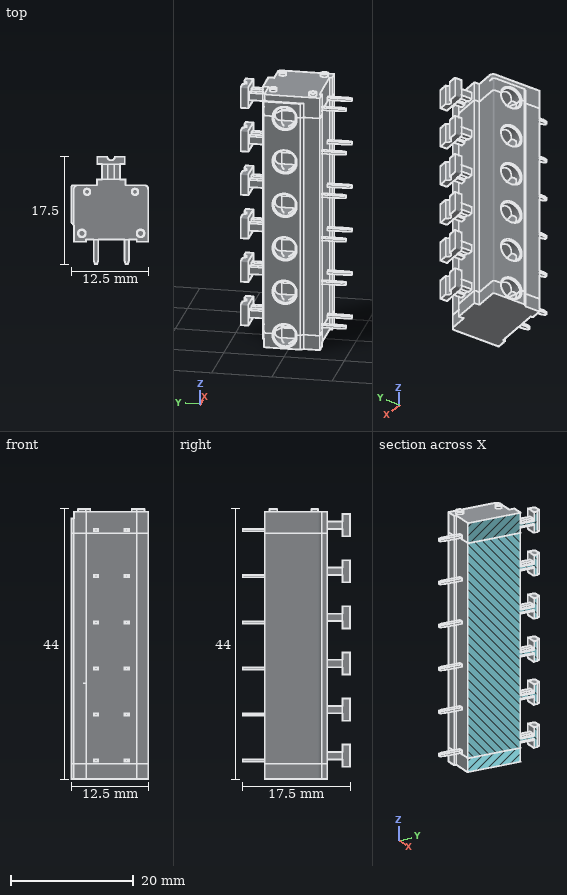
import cadquery as cq


POLE_COUNT = 6
PITCH = 7.5
BOTTOM_THICKNESS = 2.5
TOP_THICKNESS = 3.5
TOP_SPLIT_Z = BOTTOM_THICKNESS + (POLE_COUNT - 1) * PITCH
HOUSING_TOP_Z = TOP_SPLIT_Z + TOP_THICKNESS

HOUSING_WIDTH = 12.1
FOOT_Y = 3.6
CHANNEL_Y = 4.0
LEFT_FOOT_WIDTH = 2.0
RIGHT_FOOT_WIDTH = 1.9
SHOULDER_Y = 12.85
GUIDE_Y = 13.8
GUIDE_LEFT_X = 3.75
GUIDE_RIGHT_X = 8.4
SHOULDER_RADIUS = 0.65

LIP_DEPTH = 0.4
LIP_BOTTOM_Y = 6.25
LIP_CHAMFER_RISE = 0.55
LIP_RADIUS = 0.35
LIP_TOP_Z = HOUSING_TOP_Z - 1.1

FUNNEL_Y = 9.35
FUNNEL_Z = 2.25
FUNNEL_DIAMETER = 3.7
FUNNEL_CHAMFER = 0.2
FUNNEL_STRAIGHT_DEPTH = 1.3
FUNNEL_DEPTH = 3.0
FUNNEL_END_HALF_WIDTH = 1.12
FUNNEL_END_ABOVE = 0.5
FUNNEL_END_BELOW = 1.45

PIN_LEFT_X = 3.6
PIN_SPACING = 5.0
PIN_Z = 3.0
PIN_WIDTH = 0.8
PIN_THICKNESS = 0.4
PIN_TIP_WIDTH = 0.4
PIN_TAPER = 0.65

BUTTON_X = 6.05
BUTTON_Z = 3.8
STEM_WIDTH = 2.95
STEM_HEIGHT = 1.25
STEM_GROOVE_WIDTH = 1.1
STEM_GROOVE_DEPTH = 0.35
CAP_BOTTOM_Y = 16.25
CAP_TOP_Y = 17.5
CAP_WIDTH = 4.5
CAP_HEIGHT = 3.65
CAP_RADIUS = 0.2
CAP_NOTCH_RADIUS = 0.6

PEG_HEIGHT = 0.5
PEG_CHAMFER = 0.1
UPPER_PEG_DIAMETER = 1.1
LOWER_PEG_DIAMETER = 1.3
UPPER_PEG_Y = 11.75
LOWER_PEG_Y = 5.0
UPPER_PEG_XS = (2.15, 9.95)
LOWER_PEG_XS = (1.3, 10.85)


def housing_slice(bottom_z, top_z):
    """Length of the housing profile: two feet, rounded shoulders and the button guide."""
    profile = (
        cq.Workplane("XY", origin=(0, 0, bottom_z))
        .moveTo(0, FOOT_Y)
        .lineTo(LEFT_FOOT_WIDTH, FOOT_Y)
        .lineTo(LEFT_FOOT_WIDTH, CHANNEL_Y)
        .lineTo(HOUSING_WIDTH - RIGHT_FOOT_WIDTH, CHANNEL_Y)
        .lineTo(HOUSING_WIDTH - RIGHT_FOOT_WIDTH, FOOT_Y)
        .lineTo(HOUSING_WIDTH, FOOT_Y)
        .lineTo(HOUSING_WIDTH, SHOULDER_Y - SHOULDER_RADIUS)
        .radiusArc((HOUSING_WIDTH - SHOULDER_RADIUS, SHOULDER_Y), -SHOULDER_RADIUS)
        .lineTo(GUIDE_RIGHT_X, SHOULDER_Y)
        .lineTo(GUIDE_RIGHT_X, GUIDE_Y)
        .lineTo(GUIDE_LEFT_X, GUIDE_Y)
        .lineTo(GUIDE_LEFT_X, SHOULDER_Y)
        .lineTo(SHOULDER_RADIUS, SHOULDER_Y)
        .radiusArc((0, SHOULDER_Y - SHOULDER_RADIUS), -SHOULDER_RADIUS)
        .close()
    )
    return profile.extrude(top_z - bottom_z)


def lip_slice(bottom_z, top_z):
    """Length of the raised lip, rounded above, chamfered below and backed into the housing."""
    return (
        cq.Workplane("XY", origin=(0, 0, bottom_z))
        .moveTo(SHOULDER_RADIUS, SHOULDER_Y)
        .lineTo(LIP_RADIUS - LIP_DEPTH, SHOULDER_Y)
        .radiusArc((-LIP_DEPTH, SHOULDER_Y - LIP_RADIUS), -LIP_RADIUS)
        .lineTo(-LIP_DEPTH, LIP_BOTTOM_Y + LIP_CHAMFER_RISE)
        .lineTo(0, LIP_BOTTOM_Y)
        .lineTo(SHOULDER_RADIUS, LIP_BOTTOM_Y)
        .close()
        .extrude(top_z - bottom_z)
    )


def funnel(center_z):
    """Wire entry: a chamfered round bore whose inner part closes in on a rectangular end."""
    mouth = cq.Workplane("YZ", origin=(-LIP_DEPTH, FUNNEL_Y, center_z))
    bore_radius = FUNNEL_DIAMETER / 2
    bore = mouth.circle(bore_radius).extrude(FUNNEL_DEPTH)
    straight = mouth.circle(bore_radius).extrude(FUNNEL_STRAIGHT_DEPTH)
    end_height = FUNNEL_END_ABOVE + FUNNEL_END_BELOW
    end_shift = (FUNNEL_END_ABOVE - FUNNEL_END_BELOW) / 2
    taper = (
        mouth.workplane(offset=FUNNEL_STRAIGHT_DEPTH)
        .rect(FUNNEL_DIAMETER, FUNNEL_DIAMETER)
        .workplane(offset=FUNNEL_DEPTH - FUNNEL_STRAIGHT_DEPTH)
        .center(0, end_shift)
        .rect(2 * FUNNEL_END_HALF_WIDTH, end_height)
        .loft(ruled=True)
    )
    chamfer = (
        mouth.circle(bore_radius + FUNNEL_CHAMFER)
        .workplane(offset=FUNNEL_CHAMFER)
        .circle(bore_radius)
        .loft()
    )
    return bore.intersect(taper).union(straight).union(chamfer)


def pin(center_x, center_z):
    """Flat solder pin with a tapered tip, pointing to -Y from the channel floor."""
    half_width = PIN_WIDTH / 2
    half_tip = PIN_TIP_WIDTH / 2
    return (
        cq.Workplane("XY", origin=(center_x, 0, center_z - PIN_THICKNESS / 2))
        .polyline([
            (-half_width, CHANNEL_Y),
            (-half_width, PIN_TAPER),
            (-half_tip, 0),
            (half_tip, 0),
            (half_width, PIN_TAPER),
            (half_width, CHANNEL_Y),
        ])
        .close()
        .extrude(PIN_THICKNESS)
    )


def button(center_z):
    """Push button: a stem grooved on both flat sides and a wide rounded cap with a driver notch."""
    center = (BUTTON_X, 0, center_z)
    stem_length = CAP_BOTTOM_Y - GUIDE_Y
    stem = (
        cq.Workplane("XY")
        .box(STEM_WIDTH, stem_length, STEM_HEIGHT, centered=(True, False, True))
        .translate((0, GUIDE_Y, 0))
    )
    groove_z = STEM_HEIGHT / 2 - STEM_GROOVE_DEPTH / 2
    for side in (-1, 1):
        groove = (
            cq.Workplane("XY")
            .box(STEM_GROOVE_WIDTH, stem_length, STEM_GROOVE_DEPTH, centered=(True, False, True))
            .translate((0, GUIDE_Y, side * groove_z))
        )
        stem = stem.cut(groove)
    cap = (
        cq.Workplane("XY")
        .box(CAP_WIDTH, CAP_TOP_Y - CAP_BOTTOM_Y, CAP_HEIGHT, centered=(True, False, True))
        .translate((0, CAP_BOTTOM_Y, 0))
        .edges("|Y")
        .fillet(CAP_RADIUS)
    )
    notch = (
        cq.Workplane("XY", origin=(0, CAP_TOP_Y, 0))
        .circle(CAP_NOTCH_RADIUS)
        .extrude(CAP_HEIGHT / 2, both=True)
    )
    return stem.union(cap.cut(notch)).translate(center)


def peg(x, y, diameter):
    """Locating peg on the top face, chamfered at its end."""
    return (
        cq.Workplane("XY", origin=(x, y, HOUSING_TOP_Z))
        .circle(diameter / 2)
        .extrude(PEG_HEIGHT)
        .faces(">Z")
        .chamfer(PEG_CHAMFER)
    )


def housing_body(bottom_z, top_z):
    """One housing body with its lip, its share of the wire funnels, and its own pins and buttons."""
    body = housing_slice(bottom_z, top_z)
    body = body.union(lip_slice(bottom_z, min(top_z, LIP_TOP_Z)))
    for pole in range(POLE_COUNT):
        rise = pole * PITCH
        body = body.cut(funnel(FUNNEL_Z + rise))
        if bottom_z < PIN_Z + rise < top_z:
            for pin_x in (PIN_LEFT_X, PIN_LEFT_X + PIN_SPACING):
                body = body.union(pin(pin_x, PIN_Z + rise))
            body = body.union(button(BUTTON_Z + rise))
    return body


bottom_plate = housing_body(0, BOTTOM_THICKNESS)
middle_block = housing_body(BOTTOM_THICKNESS, TOP_SPLIT_Z)
top_block = housing_body(TOP_SPLIT_Z, HOUSING_TOP_Z)
for peg_x in UPPER_PEG_XS:
    top_block = top_block.union(peg(peg_x, UPPER_PEG_Y, UPPER_PEG_DIAMETER))
for peg_x in LOWER_PEG_XS:
    top_block = top_block.union(peg(peg_x, LOWER_PEG_Y, LOWER_PEG_DIAMETER))

result = cq.Compound.makeCompound([bottom_plate.val(), middle_block.val(), top_block.val()])